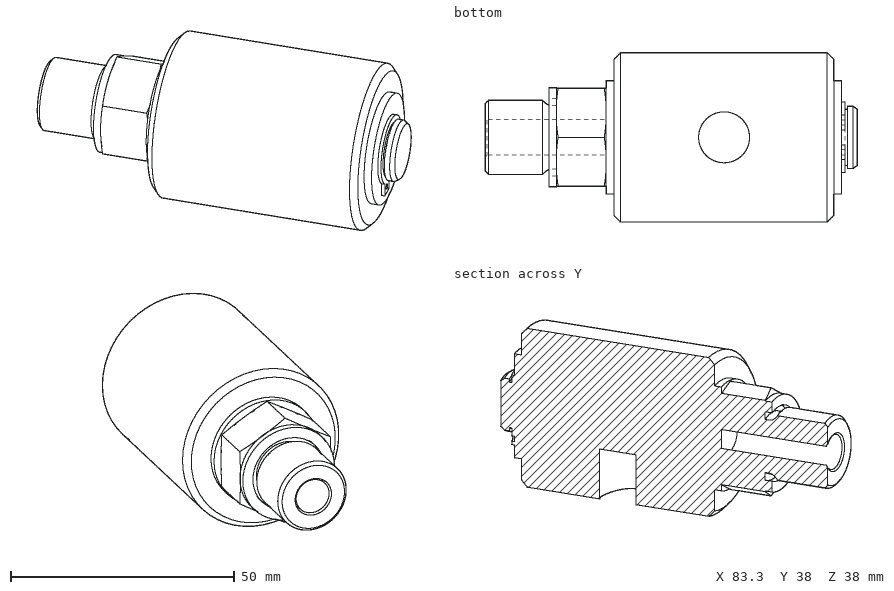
import cadquery as cq
import math


thread_end = 12.8
collar_start = 14.25
hex_start = 15.9
hex_end = 27.1
body_start = 28.8
body_end = 78.05
rear_flange_end = 79.8
clip_groove_end = 81.05
total_length = 83.3

thread_diameter = 16.7
thread_chamfer = 0.75
thread_runout = 0.5
undercut_diameter = 14.25

collar_diameter = 22.2
collar_recess_diameter = 17.3

hex_across_flats = 22.0
hex_chamfer_length = 0.4

flange_diameter = 25.4
body_diameter = 38.0
body_chamfer = 1.5

stub_diameter = 14.0
stub_chamfer_length = 1.0
groove_diameter = 12.7
clip_diameter = 15.8
clip_thickness = 0.75
clip_lug_reach = 9.25
clip_lug_inner = 1.7
clip_lug_outer = 5.0
clip_lug_hole_diameter = 1.2

bore_diameter = 8.0
bore_chamfer = 0.4
port_diameter = 11.4
port_x = 53.5
port_depth = 12.0


def disc(start, end, diameter):
    """Cylinder on the X axis between two stations."""
    return cq.Workplane("YZ", origin=(start, 0, 0)).circle(diameter / 2).extrude(end - start)


def make_nipple():
    """Thread cylinder, 45 degree run-out, and an arc blending into the undercut."""
    thread_radius = thread_diameter / 2
    undercut_radius = undercut_diameter / 2
    runout_x = thread_end + thread_runout
    runout_radius = thread_radius - thread_runout
    slope = math.radians(45)
    blend_radius = (runout_radius - undercut_radius) / (1 - math.cos(slope))
    blend_end = runout_x + blend_radius * math.sin(slope)
    blend_middle = (
        blend_end - blend_radius * math.sin(slope / 2),
        undercut_radius + blend_radius * (1 - math.cos(slope / 2)),
    )
    return (
        cq.Workplane("XY")
        .moveTo(0, 0)
        .lineTo(0, thread_radius - thread_chamfer)
        .lineTo(thread_chamfer, thread_radius)
        .lineTo(thread_end, thread_radius)
        .lineTo(runout_x, runout_radius)
        .threePointArc(blend_middle, (blend_end, undercut_radius))
        .lineTo(hex_start, undercut_radius)
        .lineTo(hex_start, 0)
        .close()
        .revolve(360, (0, 0, 0), (1, 0, 0))
    )


def make_collar():
    return disc(collar_start, hex_start, collar_diameter).cut(
        disc(collar_start, hex_start, collar_recess_diameter)
    )


def make_hexagon():
    """Hexagonal prism with its corners turned down at both ends."""
    across_corners = hex_across_flats / math.cos(math.radians(30))
    corner_radius = across_corners / 2
    face_radius = collar_diameter / 2
    prism = (
        cq.Workplane("YZ", origin=(hex_start, 0, 0))
        .transformed(rotate=(0, 0, 90))
        .polygon(6, across_corners)
        .extrude(hex_end - hex_start)
    )
    envelope = (
        cq.Workplane("XY")
        .moveTo(hex_start, 0)
        .lineTo(hex_start, face_radius)
        .lineTo(hex_start + hex_chamfer_length, corner_radius)
        .lineTo(hex_end - hex_chamfer_length, corner_radius)
        .lineTo(hex_end, face_radius)
        .lineTo(hex_end, 0)
        .close()
        .revolve(360, (0, 0, 0), (1, 0, 0))
    )
    return prism.intersect(envelope)


def make_housing():
    body = disc(body_start, body_end, body_diameter).faces("<X or >X").edges().chamfer(body_chamfer)
    flanges = disc(hex_end, rear_flange_end, flange_diameter)
    return body.union(flanges)


def make_stub():
    """Shaft end behind the housing, with the neck that carries the retaining ring."""
    neck = disc(rear_flange_end, clip_groove_end, groove_diameter)
    taper = (stub_diameter - groove_diameter) / 2
    head = (
        disc(clip_groove_end, total_length, stub_diameter)
        .faces(">X")
        .edges()
        .chamfer(stub_chamfer_length, taper)
    )
    return neck.union(head)


def make_retaining_ring():
    """Flat ring, open at the bottom between two drilled lugs."""
    clip_end = rear_flange_end + clip_thickness
    ring = disc(rear_flange_end, clip_end, clip_diameter)
    gap = cq.Workplane("XY").box(
        clip_thickness, 2 * clip_lug_inner, clip_lug_reach, centered=(False, True, False)
    )
    ring = ring.cut(gap.translate((rear_flange_end, 0, -clip_lug_reach)))

    lug_width = clip_lug_outer - clip_lug_inner
    lug_top = -groove_diameter / 4
    lug_middle = (clip_lug_inner + clip_lug_outer) / 2
    hole_z = -(groove_diameter / 2 + clip_lug_reach) / 2
    for side in (-1, 1):
        lug = cq.Workplane("XY").box(
            clip_thickness, lug_width, clip_lug_reach + lug_top, centered=(False, True, False)
        )
        hole = disc(rear_flange_end, clip_end, clip_lug_hole_diameter)
        ring = ring.union(lug.translate((rear_flange_end, side * lug_middle, -clip_lug_reach)))
        ring = ring.cut(hole.translate((0, side * lug_middle, hole_z)))
    return ring


def make_bore():
    """Blind axial bore with a chamfered mouth."""
    bore = disc(0, hex_end, bore_diameter)
    mouth = (
        cq.Workplane("YZ")
        .circle(bore_diameter / 2 + bore_chamfer)
        .workplane(offset=bore_chamfer)
        .circle(bore_diameter / 2)
        .loft()
    )
    return bore.union(mouth)


def make_port():
    """Blind radial port entering the housing from below."""
    return (
        cq.Workplane("XY", origin=(port_x, 0, -body_diameter / 2))
        .circle(port_diameter / 2)
        .extrude(port_depth)
    )


result = (
    make_nipple()
    .union(make_collar())
    .union(make_hexagon())
    .union(make_housing())
    .union(make_stub())
    .union(make_retaining_ring())
    .cut(make_bore())
    .cut(make_port())
)